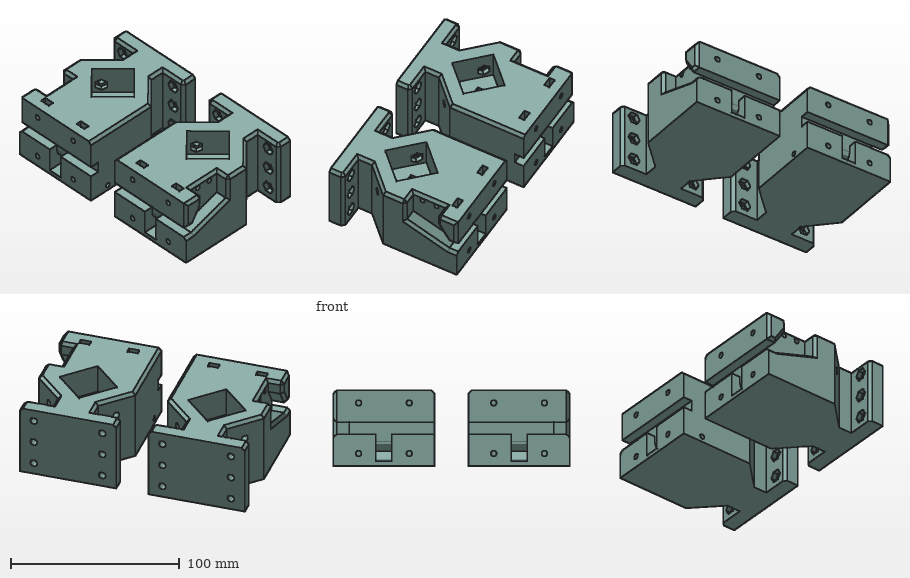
import cadquery as cq
import math

TOTAL_WIDTH = 140.0
DEPTH = 86.8
HEIGHT = 45.0
GAP = 20.0
WIDTH = (TOTAL_WIDTH - GAP) / 2
MID_X = WIDTH / 2
CHAMFER = 2.0
EDGE_MARGIN = 0.1
CLEARANCE = 7.0

FLANGE_THICKNESS = 10.0
NECK_WIDTH = 25.0
SHOULDER_Y = 67.6
FLANGE_Y = DEPTH - FLANGE_THICKNESS
NECK_SIDE = (WIDTH - NECK_WIDTH) / 2

SCREW_PITCH = 30.0
SCREW_ROWS = [HEIGHT / 2 + SCREW_PITCH * step for step in (-0.5, 0.0, 0.5)]
CLAMP_HOLE_DIAMETER = 3.4
CLAMP_HOLE_DEPTH = 14.0
BOLT_DIAMETER = 4.2
NUT_FLATS = 7.0
NUT_CORNERS = NUT_FLATS / math.cos(math.pi / 6)
NUT_RECESS_DEPTH = 3.4
FLANGE_BOLT_INSET = 8.7

NUT_SLOT_WIDTH = 6.5
NUT_SLOT_THICKNESS = 3.5
NUT_SLOT_Y = 8.0
NUT_SLOT_DEPTH = HEIGHT - SCREW_ROWS[2] + NUT_SLOT_WIDTH / 2

SLOT_DEPTH = 6.0
SLOT_BOTTOM = 18.9
SLOT_TOP = 26.0

POCKET_DEPTH = 9.4
POCKET_BACK_Y = 34.9
POCKET_BACK_Z = 28.5
POCKET_FRONT_Y = 13.2
POCKET_BEND_Z = 36.8
SWITCH_HOLE_Z = 41.0
SWITCH_HOLE_YS = (19.2, 28.7)
SMALL_HOLE_DIAMETER = 3.1
SMALL_HOLE_DEPTH = 9.8

SIDE_HOLE_Y = 14.0
SIDE_HOLE_Z = 3.8

WELL_SIDE = 25.3
WELL_Y = 47.9
WELL_FLOOR = 26.9
CROSS_BOLT_Z = 32.6
CROSS_BOLT_OFFSET = 6.9
CROSS_BOLT_LENGTH = 28.0

STRAP_WIDTH = 9.4
STRAP_THICKNESS = 6.0
STRAP_FLOOR = 2.8
STRAP_FLOOR_RADIUS = 8.4


def bracket_block():
    """T-shaped block with 45 degree shoulders."""
    outline = [
        (0, 0),
        (WIDTH, 0),
        (WIDTH, SHOULDER_Y - NECK_SIDE),
        (WIDTH - NECK_SIDE, SHOULDER_Y),
        (WIDTH - NECK_SIDE, FLANGE_Y),
        (WIDTH, FLANGE_Y),
        (WIDTH, DEPTH),
        (0, DEPTH),
        (0, FLANGE_Y),
        (NECK_SIDE, FLANGE_Y),
        (NECK_SIDE, SHOULDER_Y),
        (0, SHOULDER_Y - NECK_SIDE),
    ]
    return cq.Workplane("XY").polyline(outline).close().extrude(HEIGHT)


def clamp_slot():
    """Slot across the whole front face."""
    return cq.Workplane("XY").box(
        WIDTH + 2 * CLEARANCE, SLOT_DEPTH + CLEARANCE, SLOT_TOP - SLOT_BOTTOM, centered=False
    ).translate((-CLEARANCE, -CLEARANCE, SLOT_BOTTOM))


def switch_pocket():
    """Pocket in the outer side, open to the top and to the clamp slot."""
    profile = [
        (-CLEARANCE, SLOT_BOTTOM),
        (SLOT_DEPTH, SLOT_BOTTOM),
        (POCKET_BACK_Y, POCKET_BACK_Z),
        (POCKET_BACK_Y, HEIGHT + CLEARANCE),
        (POCKET_FRONT_Y, HEIGHT + CLEARANCE),
        (POCKET_FRONT_Y, POCKET_BEND_Z),
        (SLOT_DEPTH, SLOT_TOP),
        (-CLEARANCE, SLOT_TOP),
    ]
    return cq.Workplane("YZ").polyline(profile).close().extrude(POCKET_DEPTH)


def bevel_edges(block):
    """Bevel the wing tips, the top edges and the rims of the slot and pocket on the outer side."""
    for x in (0, WIDTH):
        wing_tip = cq.NearestToPointSelector((x, FLANGE_Y, HEIGHT / 2))
        block = block.edges(wing_tip).chamfer(CHAMFER)

    front_bottom_corner = (0, 0, SLOT_BOTTOM / 2)
    outer_face = cq.selectors.BoxSelector(
        (-EDGE_MARGIN, -EDGE_MARGIN, EDGE_MARGIN),
        (EDGE_MARGIN, SHOULDER_Y - NECK_SIDE - EDGE_MARGIN, HEIGHT - EDGE_MARGIN),
    )
    side_rim = block.edges(outer_face).edges(cq.selectors.InverseSelector(
        cq.NearestToPointSelector(front_bottom_corner)
    ))
    top_rim = block.faces(">Z").edges("not (<Y or >Y)")
    return block.newObject(side_rim.vals() + top_rim.vals()).chamfer(CHAMFER)


def switch_holes():
    """Blind holes in the pocket wall."""
    return (
        cq.Workplane("YZ", origin=(POCKET_DEPTH, 0, 0))
        .pushPoints([(y, SWITCH_HOLE_Z) for y in SWITCH_HOLE_YS])
        .circle(SMALL_HOLE_DIAMETER / 2).extrude(SMALL_HOLE_DEPTH)
    )


def side_hole():
    """Blind hole near the bottom of the inner side."""
    return (
        cq.Workplane("YZ", origin=(WIDTH, SIDE_HOLE_Y, SIDE_HOLE_Z))
        .circle(SMALL_HOLE_DIAMETER / 2).extrude(-SMALL_HOLE_DEPTH)
    )


def clamp_holes():
    """Four blind screw holes in the front face."""
    return (
        cq.Workplane("XZ", origin=(MID_X, 0, HEIGHT / 2))
        .rect(SCREW_PITCH, SCREW_PITCH, forConstruction=True).vertices()
        .circle(CLAMP_HOLE_DIAMETER / 2).extrude(-CLAMP_HOLE_DEPTH)
    )


def nut_slots():
    """Slots sunk from the top to hold the nuts of the upper clamp screws."""
    return (
        cq.Workplane("XY", origin=(MID_X, NUT_SLOT_Y, HEIGHT))
        .rarray(SCREW_PITCH, 1.4, 2, 1)
        .rect(NUT_SLOT_WIDTH, NUT_SLOT_THICKNESS).extrude(-NUT_SLOT_DEPTH)
    )


def flange_bolts():
    """Through holes in the flange wings with hexagonal nut recesses on the front."""
    points = [(x, z) for x in (FLANGE_BOLT_INSET, WIDTH - FLANGE_BOLT_INSET) for z in SCREW_ROWS]
    face = cq.Workplane("XZ", origin=(0, FLANGE_Y, 0)).pushPoints(points)
    holes = face.circle(BOLT_DIAMETER / 2).extrude(-FLANGE_THICKNESS)
    recesses = face.polygon(6, NUT_CORNERS).extrude(-NUT_RECESS_DEPTH)
    return holes.union(recesses)


def diamond_well():
    """Square well sunk from the top, turned by 45 degrees."""
    return (
        cq.Workplane("XY").rect(WELL_SIDE, WELL_SIDE).extrude(HEIGHT - WELL_FLOOR)
        .rotate((0, 0, 0), (0, 0, 1), 45)
        .translate((MID_X, WELL_Y, WELL_FLOOR))
    )


def cross_bolt(side):
    """Bolt hole from the well to a 45 degree shoulder, with a nut recess in the well wall.

    side is 1 for the shoulder at large X and -1 for the one at small X.
    """
    plane = cq.Plane(
        origin=(MID_X, WELL_Y, CROSS_BOLT_Z), xDir=(side, -1, 0), normal=(side, 1, 0)
    )
    axis = cq.Workplane(plane).center(CROSS_BOLT_OFFSET, 0)
    hole = axis.circle(BOLT_DIAMETER / 2).extrude(CROSS_BOLT_LENGTH)
    recess = (
        axis.transformed(rotate=(0, 0, 90))
        .polygon(6, NUT_CORNERS).extrude(WELL_SIDE / 2 + NUT_RECESS_DEPTH)
    )
    return hole.union(recess)


def on_circle(center, radius, angle):
    """Point on a circle, angle in radians."""
    return (center[0] + radius * math.cos(angle), center[1] + radius * math.sin(angle))


def strap_channel():
    """Channel that enters at the front, passes under a rounded lip and climbs into the well."""
    down = -math.pi / 2
    bend_y = SLOT_DEPTH + STRAP_THICKNESS
    lip_center = (bend_y, STRAP_FLOOR + 2 * STRAP_THICKNESS)
    floor_center = (bend_y, STRAP_FLOOR + STRAP_FLOOR_RADIUS)
    mouth = (WELL_Y - STRAP_THICKNESS / 2, WELL_FLOOR)

    def tangent_slope(center, radius, end_radius):
        """Angle of the line below a circle and below a circle around the mouth edge."""
        rise = mouth[1] - center[1]
        run = mouth[0] - center[0]
        return math.atan2(rise, run) + math.asin((radius - end_radius) / math.hypot(run, rise))

    ramp = tangent_slope(floor_center, STRAP_FLOOR_RADIUS, STRAP_THICKNESS)
    ceiling = tangent_slope(lip_center, STRAP_THICKNESS, 0)

    profile = (
        cq.Workplane("YZ", origin=(MID_X, 0, 0))
        .moveTo(-CLEARANCE, STRAP_FLOOR)
        .lineTo(bend_y, STRAP_FLOOR)
        .threePointArc(
            on_circle(floor_center, STRAP_FLOOR_RADIUS, down + ramp / 2),
            on_circle(floor_center, STRAP_FLOOR_RADIUS, down + ramp),
        )
        .lineTo(*on_circle(mouth, STRAP_THICKNESS, down + ramp))
        .threePointArc(
            on_circle(mouth, STRAP_THICKNESS, (down + ramp) / 2),
            on_circle(mouth, STRAP_THICKNESS, 0),
        )
        .lineTo(*mouth)
        .lineTo(*on_circle(lip_center, STRAP_THICKNESS, down + ceiling))
        .threePointArc(
            on_circle(lip_center, STRAP_THICKNESS, (down + ceiling - math.pi) / 2),
            on_circle(lip_center, STRAP_THICKNESS, -math.pi),
        )
        .lineTo(SLOT_DEPTH, SLOT_BOTTOM)
        .lineTo(-CLEARANCE, SLOT_BOTTOM)
        .close()
    )
    return profile.extrude(STRAP_WIDTH / 2, both=True)


def bracket():
    """One bracket with its pocket on the small X side."""
    body = bevel_edges(bracket_block().cut(clamp_slot()).cut(switch_pocket()))
    cutters = [
        switch_holes(),
        side_hole(),
        clamp_holes(),
        nut_slots(),
        flange_bolts(),
        diamond_well(),
        cross_bolt(1),
        cross_bolt(-1),
        strap_channel(),
    ]
    for cutter in cutters:
        body = body.cut(cutter)
    return body


left_bracket = bracket().translate((-TOTAL_WIDTH / 2, 0, 0))
right_bracket = left_bracket.mirror("YZ")

result = cq.Compound.makeCompound([left_bracket.val(), right_bracket.val()])